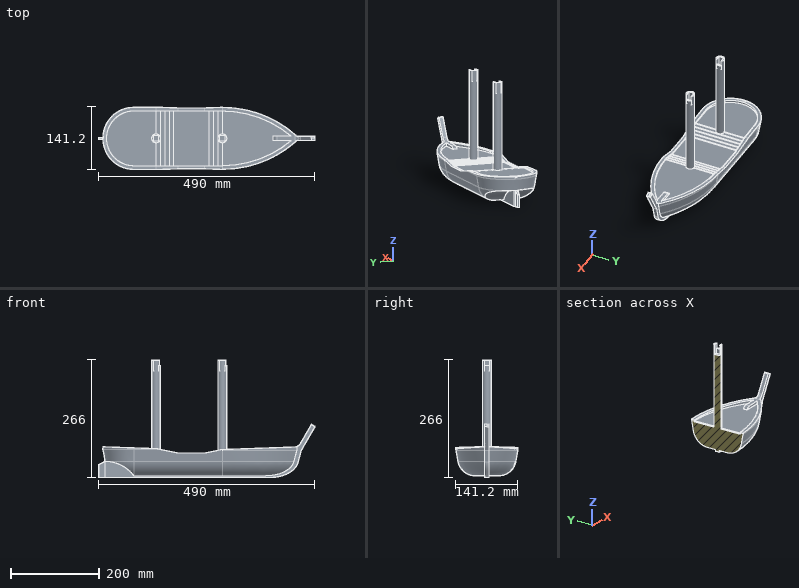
import cadquery as cq
import math

base_half_width = 60.0
side_flare = math.radians(10)
bilge_radius = 40.0
bow_start = 200.0
bow_base_radius = 240.0
hull_margin_height = 90.0
far_forward = 450.0
far_aft = -160.0
trim_width = 240.0

waist_deck = 50.0
step_rise = 2.0
step_run = 10.0
aft_deck_end = 50.0
aft_step_count = 5
bow_step_count = 4
aft_deck = waist_deck + aft_step_count * step_rise
bow_deck = waist_deck + bow_step_count * step_rise
rail_height = 2.0
rail_width = 8.5

waist_aft = 100.0
waist_forward = 160.0
stern_sheer_break = -66.0
end_sheer = 66.0
bow_sheer_end = 372.0

keel_width = 10.0
keel_depth = 4.0
forefoot_start = 306.0
forefoot_end = (371.5, 31.0)
forefoot_stem_pull = 20.0
forefoot_keel_pull = 34.0
stem_rake = math.radians(15)
bowsprit_angle = math.radians(60)
bowsprit_thickness = 10.0
bowsprit_tip = 410.04
bowsprit_fillet = 15.0
knee_top_start = 324.0
knee_radius = 10.0

rudder_width = 5.0
rudder_end = -80.0
rudder_top = 25.5

notch_width = 4.0
notch_offset = 2.5
rail_notch_length = 1.5
rail_notch_depth = 2.5
bowsprit_notch_depth = 1.5

mast_positions = (aft_deck_end, bow_start)
mast_diameter = 20.0
mast_top = 262.0
socket_size = 12.0
socket_depth = 25.0
socket_opening_depth = 12.5

flare = math.tan(side_flare)
chine_height = bilge_radius * (1 - math.sin(side_flare))
stern_chine = -(base_half_width + chine_height * flare)
bow_axis_offset = bow_base_radius - base_half_width
bow_rail = bow_deck + rail_height
bow_sheer_slope = math.atan2(end_sheer - bow_rail, bow_sheer_end - bow_start)


def xz_plate(outline, width):
    """Extrude a closed XZ outline symmetrically about Y = 0."""
    return outline.close().extrude(width / 2, both=True)


def half_section(base_radius, flare_top):
    """Half section: flat bottom, round bilge, flared side, vertical bulwark above flare_top."""
    bilge_centre = base_radius + chine_height * flare - bilge_radius * math.cos(side_flare)
    mid_angle = (math.pi / 2 + side_flare) / 2
    bilge_middle = (
        bilge_centre + bilge_radius * math.cos(mid_angle),
        bilge_radius * (1 - math.sin(mid_angle)),
    )
    top_radius = base_radius + flare_top * flare
    return (
        cq.Workplane("XZ")
        .moveTo(0, 0)
        .lineTo(bilge_centre, 0)
        .threePointArc(bilge_middle, (base_radius + chine_height * flare, chine_height))
        .lineTo(top_radius, flare_top)
        .lineTo(top_radius, hull_margin_height)
        .lineTo(0, hull_margin_height)
        .close()
    )


def round_body(base_radius, flare_top):
    return half_section(base_radius, flare_top).revolve(360, (0, 0, 0), (0, 1, 0))


def bow_from(disc):
    """The pointed bow is the overlap of two large discs, one per side, ahead of bow_start."""
    port = disc.translate((bow_start, -bow_axis_offset, 0))
    starboard = disc.translate((bow_start, bow_axis_offset, 0))
    ahead = cq.Workplane("XY").box(
        far_forward - bow_start, trim_width, hull_margin_height, centered=(False, True, False)
    )
    return port.intersect(starboard).intersect(ahead.translate((bow_start, 0, 0)))


def hull_body():
    stern = round_body(base_half_width, aft_deck)
    half_midship = (
        half_section(base_half_width, aft_deck)
        .extrude(bow_start)
        .rotate((0, 0, 0), (0, 0, 1), 90)
    )
    midship = half_midship.union(half_midship.mirror("XZ"))
    bow = bow_from(round_body(bow_base_radius, bow_deck))
    return stern.union(midship).union(bow)


def well_body():
    """Vertical-sided space inside the rail, before the decks limit its depth."""
    half_width = base_half_width + aft_deck * flare - rail_width
    bow_radius = bow_base_radius + bow_deck * flare - rail_width
    stern = cq.Workplane("XY").circle(half_width).extrude(hull_margin_height)
    midship = cq.Workplane("XY").box(
        bow_start, 2 * half_width, hull_margin_height, centered=(False, True, False)
    )
    bow = bow_from(cq.Workplane("XY").circle(bow_radius).extrude(hull_margin_height))
    return stern.union(midship).union(bow)


def space_above_decks():
    outline = cq.Workplane("XZ").moveTo(far_aft, hull_margin_height).lineTo(far_aft, aft_deck)
    for step in range(aft_step_count):
        nose = aft_deck_end + step * step_run
        outline = outline.lineTo(nose, aft_deck - step * step_rise)
        outline = outline.lineTo(nose, aft_deck - (step + 1) * step_rise)
    for step in range(bow_step_count):
        riser = bow_start - (bow_step_count - 1 - step) * step_run
        outline = outline.lineTo(riser, waist_deck + step * step_rise)
        outline = outline.lineTo(riser, waist_deck + (step + 1) * step_rise)
    outline = outline.lineTo(far_forward, bow_deck).lineTo(far_forward, hull_margin_height)
    return xz_plate(outline, trim_width)


def bow_sheer(x):
    """Height of the straight sheer line ahead of bow_start."""
    return bow_rail + (x - bow_start) * math.tan(bow_sheer_slope)


def sprit_point(distance):
    """Point on the bowsprit's upper edge, measured from where it meets the sheer line."""
    return (
        bow_sheer_end + distance * math.cos(bowsprit_angle),
        end_sheer + distance * math.sin(bowsprit_angle),
    )


def bowsprit_end_point(depth):
    """Point on the bowsprit's square-cut end, a given depth below its upper edge."""
    upper_x = bowsprit_tip - bowsprit_thickness * math.sin(bowsprit_angle)
    upper_x, upper_z = sprit_point((upper_x - bow_sheer_end) / math.cos(bowsprit_angle))
    return (
        upper_x + depth * math.sin(bowsprit_angle),
        upper_z - depth * math.cos(bowsprit_angle),
    )


def sheer_to_bowsprit(outline):
    """Follow the bow sheer, then the fillet that turns it up into the bowsprit."""
    turn = bowsprit_angle - bow_sheer_slope
    tangent_length = bowsprit_fillet * math.tan(turn / 2)
    start_x = bow_sheer_end - tangent_length * math.cos(bow_sheer_slope)
    start = (start_x, bow_sheer(start_x))
    middle_angle = bow_sheer_slope + turn / 2
    middle = (
        start[0] + bowsprit_fillet * (math.sin(middle_angle) - math.sin(bow_sheer_slope)),
        start[1] + bowsprit_fillet * (math.cos(bow_sheer_slope) - math.cos(middle_angle)),
    )
    return outline.lineTo(*start).threePointArc(middle, sprit_point(tangent_length))


def space_below_sheer():
    outline = (
        cq.Workplane("XZ")
        .moveTo(far_aft, 0)
        .lineTo(far_aft, end_sheer)
        .lineTo(stern_sheer_break, end_sheer)
        .lineTo(aft_deck_end, aft_deck + rail_height)
        .lineTo(waist_aft, waist_deck + rail_height)
        .lineTo(waist_forward, waist_deck + rail_height)
        .lineTo(bow_start, bow_rail)
    )
    beyond_bow = sprit_point(bowsprit_fillet)
    outline = sheer_to_bowsprit(outline).lineTo(*beyond_bow).lineTo(beyond_bow[0], 0)
    return xz_plate(outline, trim_width)


def stern_counter():
    """Space below the stern, bounded by an arc rising from the bottom to the chine."""
    radius = (stern_chine ** 2 + chine_height ** 2) / (2 * chine_height)
    full_angle = math.asin(-stern_chine / radius)
    middle = (
        stern_chine + radius * math.sin(full_angle / 2),
        chine_height - radius * (1 - math.cos(full_angle / 2)),
    )
    outline = (
        cq.Workplane("XZ")
        .moveTo(0, 0)
        .threePointArc(middle, (stern_chine, chine_height))
        .lineTo(2 * stern_chine, chine_height)
        .lineTo(2 * stern_chine, -keel_depth)
        .lineTo(0, -keel_depth)
    )
    return xz_plate(outline, trim_width)


def centreline_plate():
    """Skeg, keel, stem, bowsprit and the knee that rises through the bow deck."""
    knee_top = bow_sheer(knee_top_start)
    knee_aft = knee_top_start - knee_radius
    knee_centre_height = knee_top - knee_radius
    knee_middle = (
        knee_top_start - knee_radius * math.sin(math.pi / 4),
        knee_centre_height + knee_radius * math.cos(math.pi / 4),
    )
    upper_tip = bowsprit_end_point(0)
    lower_tip = bowsprit_end_point(bowsprit_thickness)

    sprit_run = 1 / math.tan(bowsprit_angle)
    stem_run = math.tan(stem_rake)
    stem_x, stem_z = forefoot_end
    sprit_x_at_stem_z = lower_tip[0] - (lower_tip[1] - stem_z) * sprit_run
    head_rise = (stem_x - sprit_x_at_stem_z) / (sprit_run - stem_run)
    stem_head = (stem_x + head_rise * stem_run, stem_z + head_rise)

    outline = (
        cq.Workplane("XZ")
        .moveTo(stern_chine, -keel_depth)
        .lineTo(stern_chine, chine_height)
        .lineTo(knee_aft, chine_height)
        .lineTo(knee_aft, knee_centre_height)
        .threePointArc(knee_middle, (knee_top_start, knee_top))
    )
    stem_handle = (stem_x - forefoot_stem_pull * stem_run, stem_z - forefoot_stem_pull)
    keel_handle = (forefoot_start + forefoot_keel_pull, -keel_depth)
    outline = (
        sheer_to_bowsprit(outline)
        .lineTo(*upper_tip)
        .lineTo(*lower_tip)
        .lineTo(*stem_head)
        .lineTo(*forefoot_end)
        .bezier([forefoot_end, stem_handle, keel_handle, (forefoot_start, -keel_depth)])
    )
    return xz_plate(outline, keel_width)


def rudder():
    outline = (
        cq.Workplane("XZ")
        .moveTo(stern_chine, -keel_depth)
        .lineTo(rudder_end, -keel_depth)
        .lineTo(rudder_end, rudder_top)
        .lineTo(stern_chine, chine_height)
    )
    return xz_plate(outline, rudder_width)


def mast(x):
    """Round mast with a square socket in its top, open toward the bow near the top."""
    post = (
        cq.Workplane("XY")
        .workplane(offset=waist_deck)
        .circle(mast_diameter / 2)
        .extrude(mast_top - waist_deck)
    )
    socket = cq.Workplane("XY").box(
        socket_size, socket_size, socket_depth, centered=(True, True, False)
    )
    opening = cq.Workplane("XY").box(
        mast_diameter, socket_size, socket_opening_depth, centered=(False, True, False)
    )
    post = post.cut(socket.translate((0, 0, mast_top - socket_depth)))
    post = post.cut(opening.translate((0, 0, mast_top - socket_opening_depth)))
    return post.translate((x, 0, 0))


def rail_notch():
    outer_edge = -(base_half_width + aft_deck * flare)
    block = cq.Workplane("XY").box(2 * rail_notch_length, notch_width, 2 * rail_notch_depth)
    return block.translate((outer_edge, notch_offset, end_sheer))


def bowsprit_notch():
    end_x, end_z = bowsprit_end_point(bowsprit_thickness / 2)
    block = cq.Workplane("XY").box(2 * bowsprit_notch_depth, notch_width, 2 * bowsprit_thickness)
    block = block.rotate((0, 0, 0), (0, 1, 0), -math.degrees(bowsprit_angle))
    return block.translate((end_x, notch_offset, end_z))


hull = hull_body().cut(stern_counter()).intersect(space_below_sheer())
hull = hull.cut(well_body().intersect(space_above_decks()))
hull = hull.cut(rail_notch())

result = hull.union(centreline_plate().cut(bowsprit_notch())).union(rudder())
for mast_x in mast_positions:
    result = result.union(mast(mast_x))